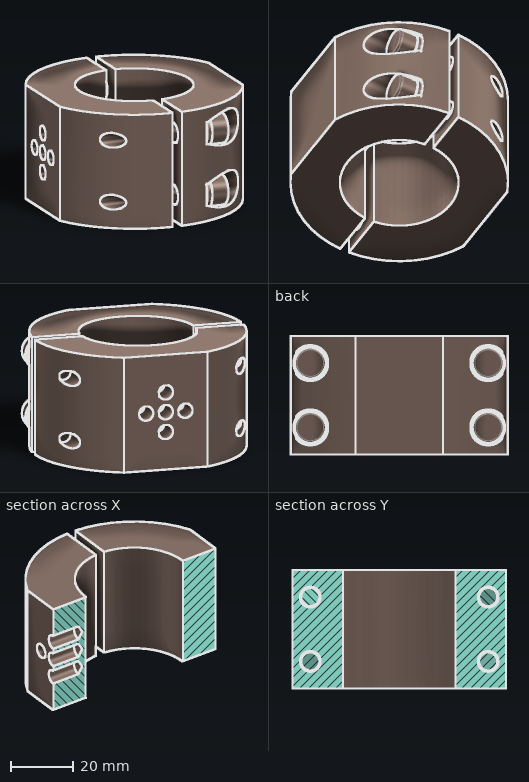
import cadquery as cq
import math

LENGTH_X = 69.8
WIDTH_Y = 64.0
HEIGHT = 38.1
BORE_DIAMETER = 38.1
SPLIT_GAP = 3.2
RING_RADIUS = math.hypot(LENGTH_X / 2, SPLIT_GAP / 2)

SCREW_X = 28.55
SCREW_Z = 10.3
SCREW_DIAMETER = 6.0
SCREW_LENGTH = 25.0
HEAD_DIAMETER = 10.0
HEAD_HEIGHT = SCREW_DIAMETER
HEAD_ROUNDING = 0.7
WASHER_DIAMETER = 10.8
WASHER_THICKNESS = 1.75
CLEARANCE_DIAMETER = 6.5
COUNTERBORE_DIAMETER = 11.5
SEAT_Y = 11.0
HEAD_SEAT_Y = SEAT_Y + WASHER_THICKNESS
SCREW_END_Y = HEAD_SEAT_Y - SCREW_LENGTH
TAP_DRILL_DIAMETER = 4.9

FLAT_HOLE_DIAMETER = 4.75
FLAT_HOLE_PITCH = 6.55
FLAT_HOLE_DEPTH = 10.0
DRILL_POINT_ANGLE = 118.0

SCREW_POSITIONS = [(x, z) for x in (-SCREW_X, SCREW_X) for z in (-SCREW_Z, SCREW_Z)]


def rod(x, z, diameter, start_y, end_y):
    """Cylinder parallel to Y between two Y positions."""
    axis_start = cq.Vector(x, start_y, z)
    return cq.Workplane(cq.Solid.makeCylinder(diameter / 2, end_y - start_y, axis_start, cq.Vector(0, 1, 0)))


def half_ring(side):
    """Plain half of the ring, on the +Y side (side = 1) or the -Y side (side = -1)."""
    ring = cq.Workplane("XY").circle(RING_RADIUS).circle(BORE_DIAMETER / 2).extrude(HEIGHT / 2, both=True)
    half_depth = (WIDTH_Y - SPLIT_GAP) / 2
    center_y = side * (WIDTH_Y + SPLIT_GAP) / 4
    envelope = cq.Workplane("XY").box(LENGTH_X, half_depth, HEIGHT).translate((0, center_y, 0))
    return ring.intersect(envelope)


def flat_hole(x, z):
    """Cutter for a blind hole with a drill point, entering the front flat."""
    radius = FLAT_HOLE_DIAMETER / 2
    point_depth = radius / math.tan(math.radians(DRILL_POINT_ANGLE / 2))
    profile = (
        cq.Workplane("XY")
        .polyline([(0, 0), (radius, 0), (radius, FLAT_HOLE_DEPTH), (0, FLAT_HOLE_DEPTH + point_depth)])
        .close()
    )
    return profile.revolve(360, (0, 0, 0), (0, 1, 0)).translate((x, -WIDTH_Y / 2, z))


def make_rear_half():
    """Half that carries the screw heads in open counterbores."""
    half = half_ring(1)
    for x, z in SCREW_POSITIONS:
        half = half.cut(rod(x, z, CLEARANCE_DIAMETER, 0, SEAT_Y))
        half = half.cut(rod(x, z, COUNTERBORE_DIAMETER, SEAT_Y, WIDTH_Y / 2))
    return half


def make_front_half():
    """Half that receives the screws and has the cross of holes in its flat."""
    half = half_ring(-1)
    for x, z in SCREW_POSITIONS:
        half = half.cut(rod(x, z, SCREW_DIAMETER, SCREW_END_Y, 0))
        half = half.cut(rod(x, z, TAP_DRILL_DIAMETER, -WIDTH_Y / 2, SCREW_END_Y))
    for column, row in [(0, 0), (1, 0), (-1, 0), (0, 1), (0, -1)]:
        half = half.cut(flat_hole(column * FLAT_HOLE_PITCH, row * FLAT_HOLE_PITCH))
    return half


def make_screw(x, z):
    """Cap screw whose head sits on the washer."""
    head = rod(x, z, HEAD_DIAMETER, HEAD_SEAT_Y, HEAD_SEAT_Y + HEAD_HEIGHT)
    head = head.faces(">Y").edges().fillet(HEAD_ROUNDING)
    return head.union(rod(x, z, SCREW_DIAMETER, SCREW_END_Y, HEAD_SEAT_Y))


def make_washer(x, z):
    """Flat washer on the counterbore floor."""
    disc = rod(x, z, WASHER_DIAMETER, SEAT_Y, HEAD_SEAT_Y)
    return disc.cut(rod(x, z, CLEARANCE_DIAMETER, SEAT_Y, HEAD_SEAT_Y))


rear_half = make_rear_half()
front_half = make_front_half()
screws = [make_screw(x, z).val() for x, z in SCREW_POSITIONS]
washers = [make_washer(x, z).val() for x, z in SCREW_POSITIONS]

result = cq.Compound.makeCompound([rear_half.val(), front_half.val(), *screws, *washers])